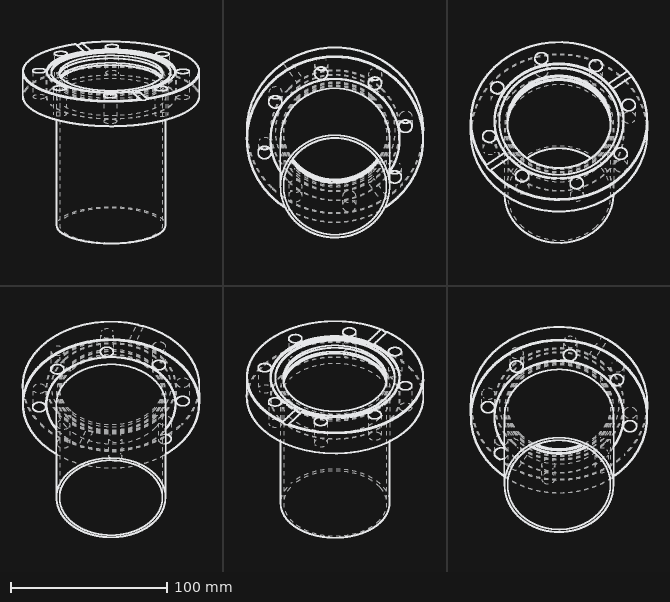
import cadquery as cq

overall_height = 105.0

flange_diameter = 113.5
flange_thickness = 17.5
flange_chamfer = 0.5
bolt_count = 8
bolt_circle_diameter = 92.1
bolt_hole_diameter = 8.4
leak_groove_width = 4.6
leak_groove_depth = 1.0

ring_diameter = 82.4
ring_bore_diameter = 66.5
seal_edge_diameter = 76.9
seal_foot_diameter = 76.4

flange_bore_diameter = 83.2
lip_bore_diameter = ring_diameter
lip_thickness = 0.7

seal_edge_depth = 0.65
ring_face_depth = 1.35
seal_slope_depth = 1.7
bore_groove_depth = 3.4
bore_groove_radius = 1.5

tube_outer_diameter = 70.0
tube_inner_diameter = 66.0
tube_top_depth = 7.9

flange_radius = flange_diameter / 2
flange_bottom = overall_height - flange_thickness
tube_top = overall_height - tube_top_depth


def cylinder(diameter, bottom, top):
    """Solid upright cylinder centred on the Z axis."""
    return cq.Workplane("XY").workplane(offset=bottom).circle(diameter / 2).extrude(top - bottom)


def make_leak_grooves():
    """Cutter for the two leak-check grooves: one round bar lying along X across the flange top."""
    half_width = leak_groove_width / 2
    groove_radius = (half_width**2 + leak_groove_depth**2) / (2 * leak_groove_depth)
    axis_height = overall_height - leak_groove_depth + groove_radius
    return (
        cq.Workplane("YZ")
        .center(0, axis_height)
        .circle(groove_radius)
        .extrude(flange_radius, both=True)
    )


def make_bolt_holes():
    """Cutter for the bolt holes, turned half a pitch away from the X axis."""
    half_pitch_angle = 180 / bolt_count
    return (
        cq.Workplane("XY")
        .workplane(offset=flange_bottom)
        .polarArray(bolt_circle_diameter / 2, half_pitch_angle, 360, bolt_count)
        .circle(bolt_hole_diameter / 2)
        .extrude(flange_thickness)
    )


def make_flange():
    """Chamfered flange with a lipped bore, bolt holes and leak-check grooves."""
    disc = cylinder(flange_diameter, flange_bottom, overall_height).edges().chamfer(flange_chamfer)
    main_bore = cylinder(flange_bore_diameter, flange_bottom, overall_height - lip_thickness)
    lip_bore = cylinder(lip_bore_diameter, flange_bottom, overall_height)
    return disc.cut(main_bore).cut(lip_bore).cut(make_bolt_holes()).cut(make_leak_grooves())


def make_seal_ring():
    """Ring with a raised sealing edge, a half-round groove in its bore and a tube socket below."""
    outer_radius = ring_diameter / 2
    bore_radius = ring_bore_diameter / 2
    socket_radius = tube_outer_diameter / 2
    face_height = overall_height - ring_face_depth
    groove_top = overall_height - bore_groove_depth
    groove_middle = groove_top - bore_groove_radius
    groove_bottom = groove_middle - bore_groove_radius
    return (
        cq.Workplane("XZ")
        .moveTo(socket_radius, flange_bottom)
        .lineTo(outer_radius, flange_bottom)
        .lineTo(outer_radius, overall_height - seal_slope_depth)
        .lineTo(seal_edge_diameter / 2, overall_height - seal_edge_depth)
        .lineTo(seal_foot_diameter / 2, face_height)
        .lineTo(bore_radius, face_height)
        .lineTo(bore_radius, groove_top)
        .threePointArc((bore_radius + bore_groove_radius, groove_middle), (bore_radius, groove_bottom))
        .lineTo(bore_radius, tube_top)
        .lineTo(socket_radius, tube_top)
        .close()
        .revolve(360, (0, 0, 0), (0, 1, 0))
    )


def make_tube():
    """Plain tube whose upper end sits in the socket of the seal ring."""
    return cylinder(tube_outer_diameter, 0, tube_top).cut(cylinder(tube_inner_diameter, 0, tube_top))


flange = make_flange()
seal_ring = make_seal_ring()
tube = make_tube()

result = cq.Compound.makeCompound([flange.val(), seal_ring.val(), tube.val()])